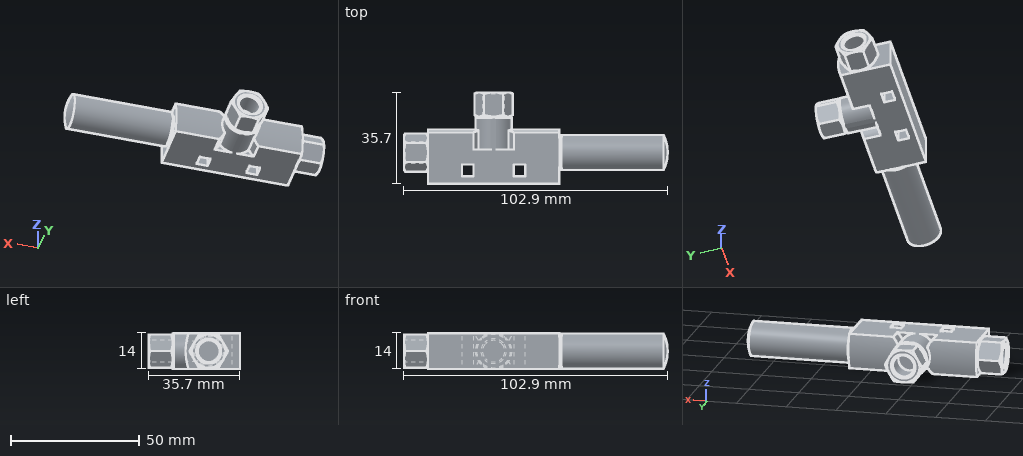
import cadquery as cq
import math

total_length = 102.9
total_width = 35.7
body_length = 51.2
body_height = 14.0
body_front_y = -12.25
body_edge_depth = 20.1
body_back_radius = 22.0

nut_length = 9.4
nut_sides = 6
nut_across_flats = 13.0
nut_corner_chamfer_angle = 30.0
nut_face_diameter = 13.0
nut_bore_diameter = 8.57
nut_mouth_diameter = 9.8
nut_mouth_chamfer = (nut_mouth_diameter - nut_bore_diameter) / 2

branch_flat_width = 2.2
branch_taper_length = 0.6
branch_taper_depth = 0.2
branch_radius = math.hypot(body_height / 2, branch_flat_width / 2)
relief_start_y = 1.2
relief_half_width = 7.9
relief_wall_radius = 10.0

hole_side = 4.4
hole_spacing = 20.1
hole_front_offset = 5.3

neck_diameter = 11.4
neck_straight_length = 0.3
neck_flare_diameter = 12.2
neck_flare_length = 0.6
barrel_diameter = 13.8
dome_height = 1.7

body_left_x = -body_length / 2
body_right_x = body_length / 2
hole_center_y = body_front_y + hole_front_offset
body_edge_y = body_front_y + body_edge_depth
half_height = body_height / 2
barrel_end_x = body_left_x - nut_length + total_length
branch_nut_outer_y = body_front_y + total_width
branch_nut_inner_y = branch_nut_outer_y - nut_length


def make_body():
    """Block whose back face is a shallow cylinder lying along X."""
    bulge = body_back_radius - math.sqrt(body_back_radius**2 - half_height**2)
    return (
        cq.Workplane("YZ")
        .workplane(offset=body_left_x)
        .moveTo(body_front_y, -half_height)
        .lineTo(body_edge_y, -half_height)
        .threePointArc((body_edge_y + bulge, 0), (body_edge_y, half_height))
        .lineTo(body_front_y, half_height)
        .close()
        .extrude(body_length)
    )


def make_relief():
    """Cutter for the waisted recess round the branch, with walls bulging towards the branch."""
    wall_run = math.sqrt(relief_wall_radius**2 - half_height**2)
    waist_half_width = relief_half_width - (relief_wall_radius - wall_run)
    return (
        cq.Workplane("XZ", origin=(0, branch_nut_inner_y, 0))
        .moveTo(-relief_half_width, half_height)
        .lineTo(relief_half_width, half_height)
        .threePointArc((waist_half_width, 0), (relief_half_width, -half_height))
        .lineTo(-relief_half_width, -half_height)
        .threePointArc((-waist_half_width, 0), (-relief_half_width, half_height))
        .close()
        .extrude(branch_nut_inner_y - relief_start_y)
    )


def make_branch():
    """Round branch along Y, tapered next to its nut and trimmed flush with the top and bottom of the body."""
    length = branch_nut_inner_y - relief_start_y
    branch = (
        cq.Workplane("XZ", origin=(0, branch_nut_inner_y, 0))
        .circle(branch_radius)
        .extrude(length)
        .faces(">Y")
        .chamfer(branch_taper_length, branch_taper_depth)
    )
    trim = cq.Workplane("XY").box(total_length, 2 * total_width, body_height)
    return branch.intersect(trim)


def make_nut():
    """Hexagonal nut along +Z from Z = 0, corners on the X axis, with a through bore widened at the far end."""
    corner_diameter = nut_across_flats / math.cos(math.pi / nut_sides)
    corner_radius = corner_diameter / 2
    face_radius = nut_face_diameter / 2
    drop = (corner_radius - face_radius) * math.tan(math.radians(nut_corner_chamfer_angle))
    envelope = (
        cq.Workplane("XZ")
        .moveTo(0, 0)
        .lineTo(face_radius, 0)
        .lineTo(corner_radius, drop)
        .lineTo(corner_radius, nut_length - drop)
        .lineTo(face_radius, nut_length)
        .lineTo(0, nut_length)
        .close()
        .revolve(360, (0, 0, 0), (0, 1, 0))
    )
    hexagon = cq.Workplane("XY").polygon(nut_sides, corner_diameter).extrude(nut_length)
    bore = cq.Workplane("XY").circle(nut_bore_diameter / 2).extrude(nut_length)
    mouth_edge = cq.selectors.RadiusNthSelector(0)
    return (
        hexagon.intersect(envelope)
        .cut(bore)
        .faces(">Z")
        .edges("%CIRCLE")
        .edges(mouth_edge)
        .chamfer(nut_mouth_chamfer)
    )


def make_barrel():
    """Flared neck and barrel with a domed outer end, turned about X."""
    neck_radius = neck_diameter / 2
    barrel_radius = barrel_diameter / 2
    flare_start_x = body_right_x + neck_straight_length
    barrel_start_x = flare_start_x + neck_flare_length
    dome_start_x = barrel_end_x - dome_height
    dome_radius = (barrel_radius**2 + dome_height**2) / (2 * dome_height)
    dome_center_x = barrel_end_x - dome_radius
    mid_angle = math.asin(barrel_radius / dome_radius) / 2
    dome_middle = (
        dome_center_x + dome_radius * math.cos(mid_angle),
        dome_radius * math.sin(mid_angle),
    )
    return (
        cq.Workplane("XY")
        .moveTo(body_right_x, 0)
        .lineTo(body_right_x, neck_radius)
        .lineTo(flare_start_x, neck_radius)
        .lineTo(barrel_start_x, neck_flare_diameter / 2)
        .lineTo(barrel_start_x, barrel_radius)
        .lineTo(dome_start_x, barrel_radius)
        .threePointArc(dome_middle, (barrel_end_x, 0))
        .close()
        .revolve(360, (0, 0, 0), (1, 0, 0))
    )


def make_square_holes():
    """Cutter for the two square holes through the body."""
    return (
        cq.Workplane("XY", origin=(0, hole_center_y, 0))
        .rarray(hole_spacing, 1, 2, 1)
        .rect(hole_side, hole_side)
        .extrude(half_height, both=True)
    )


nut = make_nut()
nut_with_y_corners = nut.rotate((0, 0, 0), (0, 0, 1), 90)
end_nut = nut_with_y_corners.rotate((0, 0, 0), (0, 1, 0), -90).translate((body_left_x, 0, 0))
branch_nut = nut.rotate((0, 0, 0), (1, 0, 0), -90).translate((0, branch_nut_inner_y, 0))

result = (
    make_body()
    .cut(make_relief())
    .cut(make_square_holes())
    .union(make_branch())
    .union(end_nut)
    .union(branch_nut)
    .union(make_barrel())
)